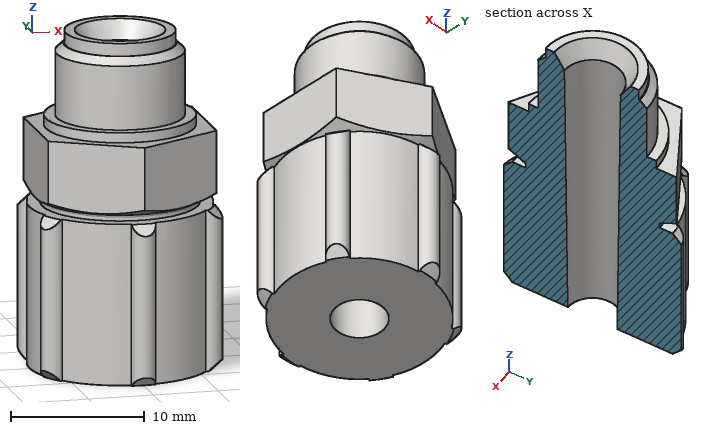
import cadquery as cq
import math

total_height = 25.7
nut_height = 12.46
hex_bottom = 12.95
hex_top = 18.43
collar_top = 19.2
thread_top = 24.13
tip_base = 24.72

nut_diameter = 13.98
neck_diameter = 12.0
collar_diameter = 11.4
thread_diameter = 9.75
tip_diameter = 8.35
shoulder_diameter = 8.48

hex_sides = 6
hex_across_flats = 13.0
hex_across_corners = hex_across_flats / math.cos(math.pi / hex_sides)
hex_chamfer_diameter = 12.34
hex_chamfer_angle = 26.0

rib_count = 6
rib_radius = 0.93
rib_tip_radius = 7.928
rib_chamfer = 0.77

bore_diameter = 4.4
mouth_diameter = 6.8
seat_diameter = 4.99
seat_depth = 1.41


def cylinder(diameter, bottom, top):
    return cq.Workplane("XY").workplane(offset=bottom).circle(diameter / 2).extrude(top - bottom)


def revolve_profile(points):
    """Revolve a closed outline of (radius, height) points about Z."""
    return cq.Workplane("XZ").polyline(points).close().revolve(360, (0, 0), (0, 1))


def make_nut():
    ribs = (
        cq.Workplane("XY")
        .polarArray(rib_tip_radius - rib_radius, 90, 360, rib_count)
        .circle(rib_radius)
        .extrude(nut_height)
    )
    rib_envelope = cylinder(2 * rib_tip_radius, 0, nut_height).edges().chamfer(rib_chamfer)
    return cylinder(nut_diameter, 0, nut_height).union(ribs.intersect(rib_envelope))


def make_hexagon():
    prism = (
        cq.Workplane("XY")
        .workplane(offset=hex_bottom)
        .polygon(hex_sides, hex_across_corners)
        .extrude(hex_top - hex_bottom)
        .rotate((0, 0, 0), (0, 0, 1), 90)
    )
    start_radius = hex_chamfer_diameter / 2
    corner_radius = hex_across_corners / 2
    rise = (corner_radius - start_radius) * math.tan(math.radians(hex_chamfer_angle))
    envelope = revolve_profile([
        (0, hex_bottom),
        (start_radius, hex_bottom),
        (corner_radius, hex_bottom + rise),
        (corner_radius, hex_top),
        (0, hex_top),
    ])
    return prism.intersect(envelope)


def make_neck():
    """Cylindrical neck that flares in a concave arc to the hexagon's chamfer."""
    neck_radius = neck_diameter / 2
    flare_radius = hex_chamfer_diameter / 2
    flare = flare_radius - neck_radius
    flare_start = hex_bottom - flare
    arc_middle = (
        flare_radius - flare * math.cos(math.pi / 4),
        flare_start + flare * math.sin(math.pi / 4),
    )
    return (
        cq.Workplane("XZ")
        .moveTo(0, nut_height)
        .lineTo(neck_radius, nut_height)
        .lineTo(neck_radius, flare_start)
        .threePointArc(arc_middle, (flare_radius, hex_bottom))
        .lineTo(0, hex_bottom)
        .close()
        .revolve(360, (0, 0), (0, 1))
    )


def make_spigot():
    """Round collar, threaded shank with a chamfered shoulder, and plain tip."""
    return revolve_profile([
        (0, hex_top),
        (collar_diameter / 2, hex_top),
        (collar_diameter / 2, collar_top),
        (thread_diameter / 2, collar_top),
        (thread_diameter / 2, thread_top),
        (shoulder_diameter / 2, tip_base),
        (tip_diameter / 2, tip_base),
        (tip_diameter / 2, total_height),
        (0, total_height),
    ])


def make_bore():
    seat_height = total_height - seat_depth
    return revolve_profile([
        (0, 0),
        (bore_diameter / 2, 0),
        (seat_diameter / 2, seat_height),
        (mouth_diameter / 2, total_height),
        (0, total_height),
    ])


body = make_nut().union(make_neck()).union(make_hexagon()).union(make_spigot())
result = body.cut(make_bore())